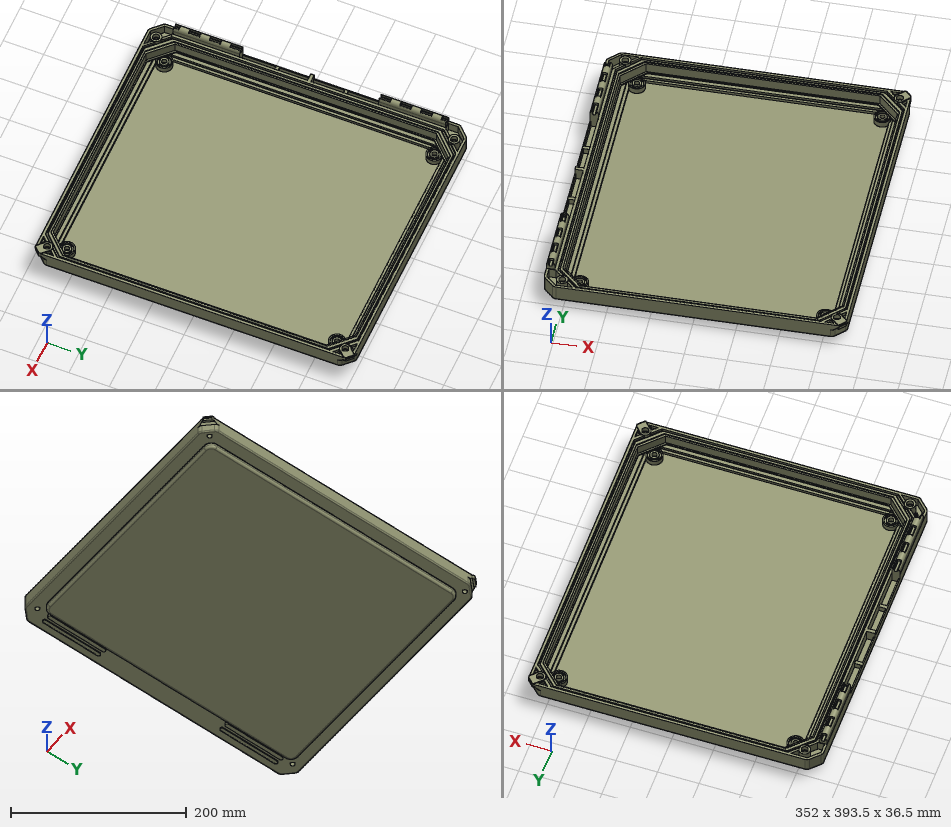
import cadquery as cq
import math

length_x = 352.0
length_y = 393.5
height = 36.5
half_x = length_x / 2
half_y = length_y / 2

frame_bottom = 6.3
frame_top = 26.0
corner_leg = 14.0
corner_radius = 6.5
frame_edge_radius = 1.5

hinge_width = 10.0
tray_half_x = (length_x - hinge_width) / 2
tray_center_x = hinge_width / 2
tray_left_x = -half_x + hinge_width

tray_corner_leg = 25.0
groove_inset = 3.5
lip_inset = 5.5
lip_step_inset = 8.3
cavity_inset = 10.2
cavity_foot_inset = 11.8
groove_floor = 23.0
lip_top = 25.0
lip_step = 23.5
cavity_foot_top = 11.5
ledge_top = 10.0

panel_inset = 16.5
panel_corner_radius = 10.2
panel_edge_radius = 3.0
panel_bottom_thickness = 3.5
step_width = 4.0
step_height = 7.0

post_inset_x = 28.7
post_inset_y = 30.0
post_diameter = 19.5
post_top = 10.5
post_groove_diameter = 16.0
post_groove_depth = 2.5
post_core_diameter = 11.0
post_hole_diameter = 6.0
post_hole_depth = 6.3

screw_inset_x = 11.8
screw_inset_y = 12.5
screw_boss_diameter = 13.5
screw_boss_top = 27.0
screw_bore_diameter = 8.0
screw_bore_depth = 6.0
screw_hole_diameter = 5.5

pocket_wall = 3.0
pocket_floor = 13.8
pocket_tray_inset = 1.5
pocket_end_y = 169.0

flare_bottom = 17.7
flare_top = 24.5
tab_corner_leg = 6.3
tab_bottom = 20.5
tab_width = 12.5
tab_length = 12.0
dimple_inset = 3.0
dimple_start = 13.8
dimple_length = 10.2
dimple_depth = 4.0

knuckle_setback = 0.2
knuckle_radius = (hinge_width - knuckle_setback) / 2
knuckle_x = tray_left_x - knuckle_radius
knuckle_axis_z = height - knuckle_radius
knuckle_start_y = 85.8
knuckle_end_y = 168.5
pin_diameter = 3.45
notch_pitch = 25.5
notch_length = 13.5
notch_width = 5.0
notch_floor = 32.5
notch_count = 4
first_notch_y = 92.0

channel_sill = 19.0
channel_floor = 11.8
channel_wall = 1.5
channel_rib_width = 4.5
channel_rib_y = 42.5

feet_start_y = 86.5
feet_end_y = 169.0
foot_width = 4.7
outer_foot_x = -163.3
outer_foot_bottom = 4.7
inner_foot_x = -154.0
inner_foot_bottom = 3.0


def block(x_min, x_max, y_min, y_max, z_min, z_max):
    size = (x_max - x_min, y_max - y_min, z_max - z_min)
    return cq.Workplane("XY").box(*size, centered=False).translate((x_min, y_min, z_min))


def cylinder(x, y, diameter, z_min, z_max):
    return cq.Workplane("XY", origin=(x, y, z_min)).circle(diameter / 2).extrude(z_max - z_min)


def tray_prism(inset, z_min, z_max):
    """Octagonal prism set in from the tray sides, with equal corner chamfers."""
    return (
        cq.Workplane("XY", origin=(tray_center_x, 0, z_min))
        .rect(2 * (tray_half_x - inset), 2 * (half_y - inset))
        .extrude(z_max - z_min)
        .edges("|Z")
        .chamfer(tray_corner_leg)
    )


def panel_prism(inset, corner_radius, z_min, z_max):
    """Round-cornered prism parallel to the tray sides."""
    return (
        cq.Workplane("XY", origin=(tray_center_x, 0, z_min))
        .rect(2 * (tray_half_x - inset), 2 * (half_y - inset))
        .extrude(z_max - z_min)
        .edges("|Z")
        .fillet(corner_radius)
    )


def corner_points(inset_x, inset_y):
    """The four points set in from the tray corners."""
    x = tray_half_x - inset_x
    y = half_y - inset_y
    return [(tray_center_x + sx * x, sy * y) for sx in (-1, 1) for sy in (-1, 1)]


def both_ends(shape):
    """The shape together with its mirror image across the XZ plane."""
    return shape.union(shape.mirror("XZ"))


def frame():
    body = block(-half_x, half_x, -half_y, half_y, frame_bottom, frame_top)
    body = body.edges("|Z").chamfer(corner_leg)
    body = body.edges("|Z").fillet(corner_radius)
    return body.faces("<Z").edges().fillet(frame_edge_radius)


def panel_plateau():
    body = panel_prism(panel_inset, panel_corner_radius, 0, ledge_top)
    return body.faces("<Z").edges().fillet(panel_edge_radius)


def corner_triangle(leg, z):
    """Triangle across the +X +Y corner of the envelope."""
    points = [(half_x, half_y), (half_x - leg, half_y), (half_x, half_y - leg)]
    return cq.Workplane("XY", origin=(0, 0, z)).polyline(points).close()


def corner_tab():
    """Overhanging corner that flares out above the chamfered frame."""
    flat_corner = block(half_x - 2 * corner_leg, half_x, half_y - 2 * corner_leg, half_y,
                        flare_bottom, frame_top)
    wide_outline = corner_triangle(corner_leg, flare_bottom).val()
    narrow_outline = corner_triangle(tab_corner_leg, flare_top).val()
    below_flare = cq.Workplane("XY").add(cq.Solid.makeLoft([wide_outline, narrow_outline], True))
    tip = corner_triangle(tab_corner_leg, flare_bottom).extrude(height)
    strip = (
        cq.Workplane("XY")
        .box(tab_length, tab_width, screw_boss_top - tab_bottom, centered=(False, True, False))
        .rotate((0, 0, 0), (0, 0, 1), 45)
        .translate((half_x - screw_inset_x, half_y - screw_inset_y, tab_bottom))
    )
    envelope = block(0, half_x, 0, half_y, 0, height)
    return flat_corner.cut(below_flare).union(strip).cut(tip).intersect(envelope)


def corner_dimples():
    """Small triangular recesses on both sides of the +X +Y corner tab."""
    start = dimple_start
    tip = dimple_length / 2
    edge = dimple_inset
    outlines = [
        [(start, edge), (start + dimple_length, edge), (start + tip, edge + tip)],
        [(edge, start), (edge, start + dimple_length), (edge + tip, start + tip)],
    ]
    cutter = cq.Workplane("XY", origin=(0, 0, frame_top - dimple_depth))
    for outline in outlines:
        points = [(half_x - dx, half_y - dy) for dx, dy in outline]
        cutter = cutter.polyline(points).close()
    return cutter.extrude(dimple_depth)


def corner_pocket():
    """Recess in the -X +Y corner, outside the tray wall."""
    leg = corner_leg - pocket_wall * (2 - math.sqrt(2))
    pocket = (
        block(-half_x + pocket_wall, 0, pocket_end_y, half_y - pocket_wall, pocket_floor, frame_top)
        .edges("|Z and <X and >Y")
        .chamfer(leg)
    )
    return pocket.cut(tray_prism(pocket_tray_inset, pocket_floor, frame_top))


def knuckle():
    """Hinge barrel at the +Y end, bored for the pin and notched along its crest."""
    span = knuckle_end_y - knuckle_start_y
    body = block(-half_x + knuckle_setback, tray_left_x, knuckle_start_y, knuckle_end_y,
                 channel_sill, knuckle_axis_z)
    barrel_plane = cq.Workplane("XZ", origin=(knuckle_x, knuckle_end_y, knuckle_axis_z))
    body = body.union(barrel_plane.circle(knuckle_radius).extrude(span))
    body = body.cut(barrel_plane.circle(pin_diameter / 2).extrude(span))
    for index in range(notch_count):
        y = first_notch_y + index * notch_pitch
        notch = block(knuckle_x - notch_width / 2, knuckle_x + notch_width / 2,
                      y - notch_length / 2, y + notch_length / 2, notch_floor, height)
        body = body.cut(notch)
    return body


def hinge_channel():
    """Opening between the knuckles, leaving a center rib and two low ribs."""
    cutter = block(-half_x, tray_left_x, -knuckle_start_y, knuckle_start_y, channel_sill, frame_top)
    cutter = cutter.union(
        block(-half_x + channel_wall, tray_left_x, -knuckle_start_y, knuckle_start_y,
              channel_floor, channel_sill)
    )
    half_rib = channel_rib_width / 2
    cutter = cutter.cut(block(-half_x, tray_left_x, -half_rib, half_rib, channel_floor, frame_top))
    for y in (-channel_rib_y, channel_rib_y):
        cutter = cutter.cut(
            block(-half_x, tray_left_x, y - half_rib, y + half_rib, channel_floor, channel_sill)
        )
    return cutter


def foot(x, bottom):
    """Round-ended rib under the frame at the +Y end."""
    return (
        cq.Workplane("XY", origin=(x, (feet_start_y + feet_end_y) / 2, bottom))
        .slot2D(feet_end_y - feet_start_y, foot_width, 90)
        .extrude(ledge_top - bottom)
    )


def corner_post(x, y):
    """Panel post with a ring groove around a bored core."""
    post = cylinder(x, y, post_diameter, panel_bottom_thickness, post_top)
    ring_floor = post_top - post_groove_depth
    ring = cylinder(x, y, post_groove_diameter, ring_floor, post_top)
    ring = ring.cut(cylinder(x, y, post_core_diameter, ring_floor, post_top))
    hole = cylinder(x, y, post_hole_diameter, post_top - post_hole_depth, post_top)
    return post.cut(ring).cut(hole)


result = frame().union(panel_plateau()).union(both_ends(corner_tab()))
result = result.cut(both_ends(corner_pocket())).cut(both_ends(corner_dimples()))
result = result.union(both_ends(knuckle())).cut(hinge_channel())
result = result.union(both_ends(foot(outer_foot_x, outer_foot_bottom)))
result = result.union(both_ends(foot(inner_foot_x, inner_foot_bottom)))

groove = tray_prism(groove_inset, groove_floor, frame_top)
groove = groove.cut(tray_prism(lip_inset, groove_floor, lip_top))
result = result.cut(groove).cut(tray_prism(lip_step_inset, lip_step, frame_top))
result = result.cut(tray_prism(cavity_inset, cavity_foot_top, frame_top))
result = result.cut(tray_prism(cavity_foot_inset, ledge_top, frame_top))

result = result.cut(panel_prism(panel_inset, panel_corner_radius, step_height, ledge_top))
floor_inset = panel_inset + step_width
floor_radius = panel_corner_radius - step_width
result = result.cut(panel_prism(floor_inset, floor_radius, panel_bottom_thickness, step_height))

for post_x, post_y in corner_points(post_inset_x, post_inset_y):
    result = result.union(corner_post(post_x, post_y))

for boss_x, boss_y in corner_points(screw_inset_x, screw_inset_y):
    result = result.union(cylinder(boss_x, boss_y, screw_boss_diameter, pocket_floor, screw_boss_top))
    bore_floor = screw_boss_top - screw_bore_depth
    result = result.cut(cylinder(boss_x, boss_y, screw_bore_diameter, bore_floor, screw_boss_top))
    result = result.cut(cylinder(boss_x, boss_y, screw_hole_diameter, 0, screw_boss_top))